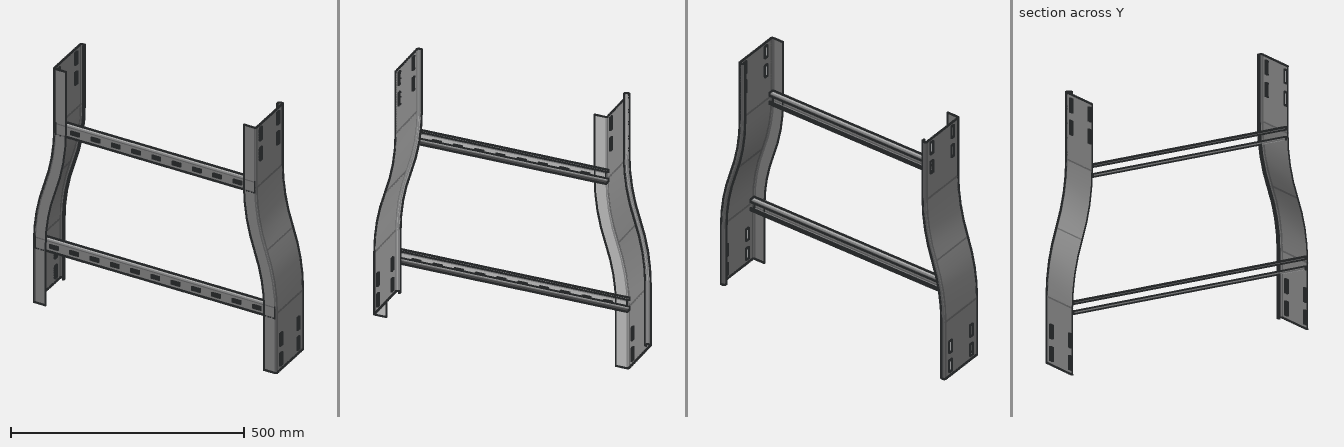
import cadquery as cq
import math


LENGTH = 600.0
WIDE_END_WIDTH = 600.0
RAIL_DEPTH = 120.0
HOLE_PITCH = LENGTH / 12
SIDE_SHIFT = LENGTH / 12
RUN_HEIGHT = LENGTH / 4
NARROW_END_WIDTH = WIDE_END_WIDTH - 2 * SIDE_SHIFT

RAIL_SHEET = 2.0
RAIL_BEND_RADIUS = 4.0
FRONT_FLANGE_WIDTH = 30.5
BACK_FLANGE_WIDTH = 12.0
BACK_LIP_DEPTH = 9.0

RAIL_SLOT_LENGTH = 30.0
RAIL_SLOT_WIDTH = 9.5
RAIL_SLOT_SPACING_Y = 75.0
RAIL_SLOT_END_DISTANCE = HOLE_PITCH / 2
RAIL_SLOTS_PER_ROW = 2

RUNG_SHEET = 1.5
RUNG_BEND_RADIUS = 2.0
RUNG_HEIGHT = 30.0
RUNG_DEPTH = 15.0
RUNG_LIP_HEIGHT = 7.0
RUNG_END_CLEARANCE = 5.0
RUNG_FRONT_Y = RAIL_SHEET - RAIL_DEPTH / 2
RUNG_SLOT_LENGTH = 20.0
RUNG_SLOT_WIDTH = 7.0

NARROW_SLOT_SHIFT = 2.5

RUNGS = (
    (-RUN_HEIGHT, WIDE_END_WIDTH, 11, 0),
    (RUN_HEIGHT, NARROW_END_WIDTH, 9, NARROW_SLOT_SHIFT),
)


def bent_sheet_outline(outer_corners, sheet, outer_radius):
    """Closed outline of a folded sheet whose outer skin turns left at every corner."""
    skin = [cq.Vector(*corner) for corner in outer_corners]
    inward = [
        cq.Vector(start.y - end.y, end.x - start.x, 0).normalized() * sheet
        for start, end in zip(skin, skin[1:])
    ]
    outer_bends = skin[1:-1]
    inner_bends = [bend + inward[i] + inward[i + 1] for i, bend in enumerate(outer_bends)]
    first_end = skin[0] + inward[0]
    last_end = skin[-1] + inward[-1]
    outline = cq.Wire.makePolygon(skin + [last_end] + inner_bends[::-1] + [first_end], close=True)
    for bends, radius in ((outer_bends, outer_radius), (inner_bends, outer_radius - sheet)):
        for bend in bends:
            corner = min(outline.Vertices(), key=lambda vertex: (vertex.Center() - bend).Length)
            outline = outline.fillet2D(radius, [corner])
    return outline


def rail_path():
    """Line of the left web's outer face: straight, two opposite tangent arcs, straight."""
    wide_x = -WIDE_END_WIDTH / 2
    narrow_x = wide_x + SIDE_SHIFT
    turn = 2 * math.atan(SIDE_SHIFT / 2 / RUN_HEIGHT)
    radius = RUN_HEIGHT / math.sin(turn)
    mid_shift = radius * (1 - math.cos(turn / 2))
    mid_z = RUN_HEIGHT - radius * math.sin(turn / 2)
    return (
        cq.Workplane("XZ")
        .moveTo(wide_x, -LENGTH / 2)
        .lineTo(wide_x, -RUN_HEIGHT)
        .threePointArc((wide_x + mid_shift, -mid_z), (wide_x + SIDE_SHIFT / 2, 0))
        .threePointArc((narrow_x - mid_shift, mid_z), (narrow_x, RUN_HEIGHT))
        .lineTo(narrow_x, LENGTH / 2)
    )


def rail_slots():
    """Cutters for the slots through the left web, in two rows at each end."""
    cutters = cq.Workplane("XY")
    cut_depth = 4 * RAIL_SHEET
    for end, width in ((-1, WIDE_END_WIDTH), (1, NARROW_END_WIDTH)):
        for row in (-1, 1):
            for i in range(RAIL_SLOTS_PER_ROW):
                z = end * (LENGTH / 2 - RAIL_SLOT_END_DISTANCE - i * HOLE_PITCH)
                cutters = cutters.union(
                    cq.Workplane("XY")
                    .box(cut_depth, RAIL_SLOT_WIDTH, RAIL_SLOT_LENGTH)
                    .translate((-width / 2, row * RAIL_SLOT_SPACING_Y / 2, z))
                )
    return cutters


def left_rail():
    """Bent channel with a wide front flange and a narrow lipped back flange."""
    web_x = -WIDE_END_WIDTH / 2
    lip_x = web_x + BACK_FLANGE_WIDTH
    front = -RAIL_DEPTH / 2
    back = RAIL_DEPTH / 2
    section = bent_sheet_outline(
        [
            (lip_x, back - BACK_LIP_DEPTH),
            (lip_x, back),
            (web_x, back),
            (web_x, front),
            (web_x + FRONT_FLANGE_WIDTH, front),
        ],
        RAIL_SHEET,
        RAIL_BEND_RADIUS,
    ).translate((0, 0, -LENGTH / 2))
    rail = cq.Workplane("XY").add(section).toPending().sweep(rail_path())
    return rail.cut(rail_slots())


def rung(middle_z, ladder_width, slot_count, slot_row_x):
    """Lipped channel, open to the back, with a row of slots along its front face."""
    length = ladder_width - 2 * RUNG_END_CLEARANCE
    half_height = RUNG_HEIGHT / 2
    lip_edge = half_height - RUNG_LIP_HEIGHT
    section = bent_sheet_outline(
        [
            (RUNG_DEPTH, lip_edge),
            (RUNG_DEPTH, half_height),
            (0, half_height),
            (0, -half_height),
            (RUNG_DEPTH, -half_height),
            (RUNG_DEPTH, -lip_edge),
        ],
        RUNG_SHEET,
        RUNG_BEND_RADIUS,
    )
    profile = section.moved(cq.Plane.YZ(origin=(-length / 2, 0, 0)).location)
    channel = cq.Workplane("YZ").add(profile).toPending().extrude(length)
    slots = (
        cq.Workplane("XZ")
        .center(slot_row_x, 0)
        .rarray(HOLE_PITCH, 6, slot_count, 1)
        .rect(RUNG_SLOT_LENGTH, RUNG_SLOT_WIDTH)
        .extrude(RUNG_DEPTH / 2, both=True)
    )
    return channel.cut(slots).translate((0, RUNG_FRONT_Y, middle_z))


left = left_rail()
right = left.mirror("YZ")
rungs = [rung(*sizes) for sizes in RUNGS]

result = cq.Compound.makeCompound([
    left.val(),
    right.val(),
    *[body.val() for body in rungs],
])